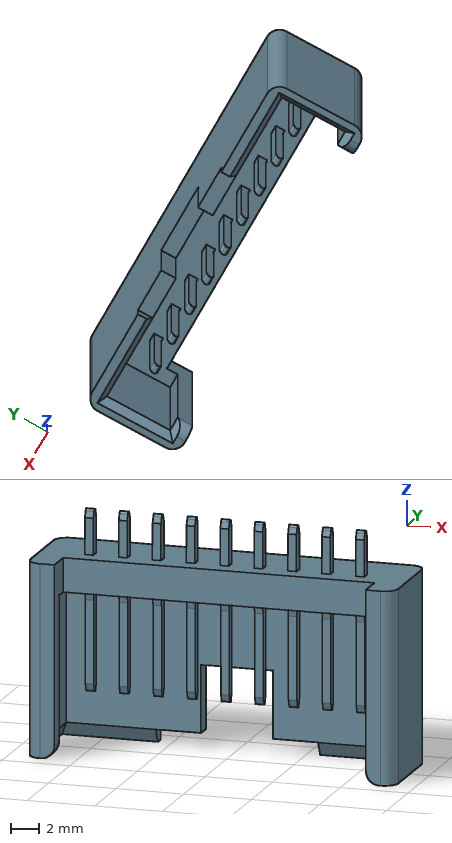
import cadquery as cq
import math

length = 27.2
depth = 7.5
height = 14.2
corner_radius = 1.0

opening_width = 23.0
opening_depth = 2.07

deck_thickness = 2.5
lip_thickness = 1.2
back_wall = 1.2
end_wall = 1.0
lip_rounding = 1.0
lead_in_height = 1.03
lead_in_width = 0.5

relief_width = 12.0
relief_height = lead_in_height
notch_width = 5.3
notch_height = 6.0

pin_count = 9
pin_pitch = 2.5
pin_width = 0.63
pin_thickness = 0.73
pin_y = 3.75
pin_top = 17.5
pin_bottom = 4.15
pin_step_back = 0.14
pin_step_height = 0.82
tip_length = 0.6
tip_round_height = 0.14
upper_round_width = 0.38
lower_round_width = 0.3

deck_bottom = height - deck_thickness
cavity_back = depth - back_wall
cavity_width = length - 2 * end_wall


def block(width, y_start, y_end, z_start, z_end):
    """Box centred on X between the given Y and Z limits."""
    box = cq.Workplane("XY").box(width, y_end - y_start, z_end - z_start, centered=(True, False, False))
    return box.translate((0, y_start, z_start))


def make_shell():
    """Outer block with rounded upright edges, the front opening and rounded lower lip edges."""
    shell = block(length, 0, depth, 0, height).edges("|Z").fillet(corner_radius)
    shell = shell.cut(block(opening_width, 0, opening_depth, 0, height))
    lip_edges = shell.faces("<Z").edges("|Y").edges(
        cq.selectors.BoxSelector((-length / 2, 0, -lip_rounding), (length / 2, opening_depth, lip_rounding))
    )
    return lip_edges.fillet(lip_rounding)


def make_cavity():
    """Space under the deck, flaring outward all round at its bottom."""
    cavity_depth = cavity_back - lip_thickness
    cavity_middle = (cavity_back + lip_thickness) / 2
    cavity = block(cavity_width, lip_thickness, cavity_back, 0, deck_bottom)
    slope = math.degrees(math.atan2(lead_in_width, lead_in_height))
    flare = (
        cq.Workplane("XY")
        .rect(cavity_width + 2 * lead_in_width, cavity_depth + 2 * lead_in_width)
        .extrude(lead_in_height, taper=slope)
        .translate((0, cavity_middle, 0))
    )
    return cavity.union(flare)


def make_pin():
    """Flat pin with rounded tips; its front face slopes back just under the deck."""
    half = pin_thickness / 2
    upper_round_half = upper_round_width / 2
    lower_round_half = lower_round_width / 2
    lower_front = -half + pin_step_back
    lower_middle = (lower_front + half) / 2
    upper_round_z = pin_top - tip_round_height
    lower_round_z = pin_bottom + tip_round_height
    profile = (
        cq.Workplane("YZ")
        .moveTo(-half, deck_bottom)
        .lineTo(-half, pin_top - tip_length)
        .lineTo(-upper_round_half, upper_round_z)
        .threePointArc((0, pin_top), (upper_round_half, upper_round_z))
        .lineTo(half, pin_top - tip_length)
        .lineTo(half, pin_bottom + tip_length)
        .lineTo(lower_middle + lower_round_half, lower_round_z)
        .threePointArc((lower_middle, pin_bottom), (lower_middle - lower_round_half, lower_round_z))
        .lineTo(lower_front, pin_bottom + tip_length)
        .lineTo(lower_front, deck_bottom - pin_step_height)
        .close()
    )
    return profile.extrude(pin_width / 2, both=True)


result = make_shell().cut(make_cavity())
result = result.cut(block(relief_width, cavity_back, depth, 0, relief_height))
result = result.cut(block(notch_width, cavity_back, depth, 0, notch_height))

pin = make_pin()
for index in range(pin_count):
    pin_x = (index - (pin_count - 1) / 2) * pin_pitch
    result = result.union(pin.translate((pin_x, pin_y, 0)))